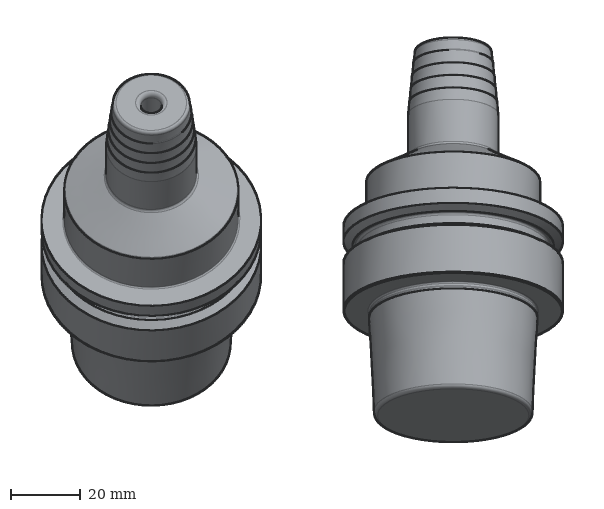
import cadquery as cq
import math


FLANGE_R = 31.5
FLANGE_TOP = 26.0
FLANGE_EDGE = 0.3
GROOVE_Z = 18.0
GROOVE_HALF_WIDTH = 3.35
GROOVE_LEDGE_HALF_WIDTH = 1.85
GROOVE_FLANK_ANGLE = 60.0
GROOVE_CORNER_R = 0.65
GROOVE_FLOOR_R = 27.5

BODY_R = 25.0
BODY_ROOT_FILLET = 0.4
BODY_TOP_CHAMFER = 0.3
BODY_TOP = 39.8
SHOULDER_ANGLE = 30.0
NECK_R = 13.0
NECK_ROOT_FILLET = 1.0

NOSE_TOP = 80.0
STEP_COUNT = 5
STEP_LENGTH = 4.0
STEP_LEDGE = 0.1
STEP_LEDGE_HEIGHT = 0.25
NOSE_TAPER = 4.5
NOSE_EDGE_R = 1.0

BORE_R = 3.0
BORE_MOUTH_R = 1.5
BORE_DEPTH = 36.0

SHANK_LENGTH = 31.9
TAPER_GAUGE_R = 24.0
TAPER_GAUGE_Z = -6.3
TAPER_RATIO = 1 / 9.98
TAPER_TOP_Z = -2.1
SHANK_END_R = 1.1
RELIEF_R = 24.0
RELIEF_FILLET = 0.45
RELIEF_BLEND_R = 1.2
RELIEF_CONE_ANGLE = 15.0


def taper_radius(z):
    """Radius of the shank taper at height z."""
    return TAPER_GAUGE_R + (z - TAPER_GAUGE_Z) * TAPER_RATIO / 2


def add_shank(outline):
    """From the centre of the shank end up to the flange face."""
    end_z = -SHANK_LENGTH
    round_z = end_z + SHANK_END_R
    cone_angle = math.radians(RELIEF_CONE_ANGLE)
    blend_r = RELIEF_R + RELIEF_BLEND_R * (1 - math.cos(cone_angle))
    blend_z = TAPER_TOP_Z + (taper_radius(TAPER_TOP_Z) - blend_r) / math.tan(cone_angle)
    floor_z = blend_z + RELIEF_BLEND_R * math.sin(cone_angle)
    round_r = taper_radius(round_z)
    return (
        outline.lineTo(round_r - SHANK_END_R, end_z)
        .radiusArc((round_r, round_z), -SHANK_END_R)
        .lineTo(taper_radius(TAPER_TOP_Z), TAPER_TOP_Z)
        .lineTo(blend_r, blend_z)
        .radiusArc((RELIEF_R, floor_z), RELIEF_BLEND_R)
        .lineTo(RELIEF_R, -RELIEF_FILLET)
        .radiusArc((RELIEF_R + RELIEF_FILLET, 0), RELIEF_FILLET)
    )


def add_flange(outline):
    """From the flange face up to its top face, with the gripper groove."""
    flank_angle = math.radians(GROOVE_FLANK_ANGLE)
    flank_depth = (GROOVE_HALF_WIDTH - GROOVE_LEDGE_HALF_WIDTH) * math.tan(flank_angle)
    flank_r = FLANGE_R - flank_depth
    corner_r = GROOVE_FLOOR_R + GROOVE_CORNER_R
    floor_half_width = GROOVE_LEDGE_HALF_WIDTH - GROOVE_CORNER_R
    return (
        outline.lineTo(FLANGE_R - FLANGE_EDGE, 0)
        .lineTo(FLANGE_R, FLANGE_EDGE)
        .lineTo(FLANGE_R, GROOVE_Z - GROOVE_HALF_WIDTH)
        .lineTo(flank_r, GROOVE_Z - GROOVE_LEDGE_HALF_WIDTH)
        .lineTo(corner_r, GROOVE_Z - GROOVE_LEDGE_HALF_WIDTH)
        .radiusArc((GROOVE_FLOOR_R, GROOVE_Z - floor_half_width), GROOVE_CORNER_R)
        .lineTo(GROOVE_FLOOR_R, GROOVE_Z + floor_half_width)
        .radiusArc((corner_r, GROOVE_Z + GROOVE_LEDGE_HALF_WIDTH), GROOVE_CORNER_R)
        .lineTo(flank_r, GROOVE_Z + GROOVE_LEDGE_HALF_WIDTH)
        .lineTo(FLANGE_R, GROOVE_Z + GROOVE_HALF_WIDTH)
        .lineTo(FLANGE_R, FLANGE_TOP)
    )


def add_body(outline):
    """Cylindrical body, shoulder cone and filleted foot of the neck."""
    slope = math.radians(SHOULDER_ANGLE)
    cone_r = BODY_R - BODY_TOP_CHAMFER
    fillet_r = NECK_R + NECK_ROOT_FILLET * (1 - math.sin(slope))
    fillet_z = BODY_TOP + (cone_r - fillet_r) * math.tan(slope)
    neck_z = fillet_z + NECK_ROOT_FILLET * math.cos(slope)
    return (
        outline.lineTo(BODY_R + BODY_ROOT_FILLET, FLANGE_TOP)
        .radiusArc((BODY_R, FLANGE_TOP + BODY_ROOT_FILLET), BODY_ROOT_FILLET)
        .lineTo(BODY_R, BODY_TOP - BODY_TOP_CHAMFER)
        .lineTo(cone_r, BODY_TOP)
        .lineTo(fillet_r, fillet_z)
        .radiusArc((NECK_R, neck_z), NECK_ROOT_FILLET)
    )


def add_nose(outline):
    """Neck and the tapered steps, each set in by a small ledge from the one below."""
    draft = math.tan(math.radians(NOSE_TAPER))
    radius = NECK_R
    z = NOSE_TOP - STEP_COUNT * STEP_LENGTH
    outline = outline.lineTo(radius, z)
    for _ in range(STEP_COUNT - 1):
        ledge_z = z + STEP_LENGTH - STEP_LEDGE_HEIGHT
        radius -= (STEP_LENGTH - STEP_LEDGE_HEIGHT) * draft
        outline = outline.lineTo(radius, ledge_z)
        radius -= STEP_LEDGE
        z += STEP_LENGTH
        outline = outline.lineTo(radius, z)
    radius -= STEP_LENGTH * draft
    return (
        outline.lineTo(radius, NOSE_TOP - NOSE_EDGE_R)
        .radiusArc((radius - NOSE_EDGE_R, NOSE_TOP), -NOSE_EDGE_R)
    )


def add_bore(outline):
    """Blind tool bore with a rounded mouth, back to the axis."""
    bore_bottom = NOSE_TOP - BORE_DEPTH
    return (
        outline.lineTo(BORE_R + BORE_MOUTH_R, NOSE_TOP)
        .radiusArc((BORE_R, NOSE_TOP - BORE_MOUTH_R), -BORE_MOUTH_R)
        .lineTo(BORE_R, bore_bottom)
        .lineTo(0, bore_bottom)
    )


outline = cq.Workplane("XZ").moveTo(0, -SHANK_LENGTH)
for add_section in (add_shank, add_flange, add_body, add_nose, add_bore):
    outline = add_section(outline)

result = outline.close().revolve(360, (0, 0, 0), (0, 1, 0))